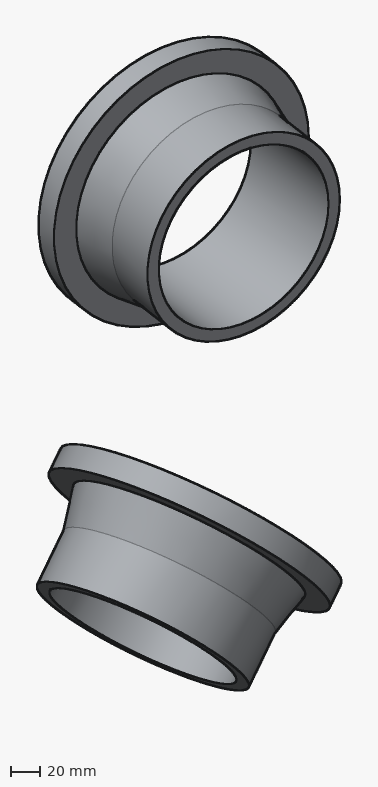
import cadquery as cq

total_length = 92.0
collar_thickness = 18.5
taper_length = 31.8
collar_radius = 212.0 / 2
taper_base_radius = 175.0 / 2
pipe_radius = 160.0 / 2
bore_radius = 141.0 / 2

taper_end = collar_thickness + taper_length

half_section = (
    cq.Workplane("XY")
    .moveTo(0, bore_radius)
    .lineTo(0, collar_radius)
    .lineTo(collar_thickness, collar_radius)
    .lineTo(collar_thickness, taper_base_radius)
    .lineTo(taper_end, pipe_radius)
    .lineTo(total_length, pipe_radius)
    .lineTo(total_length, bore_radius)
    .close()
)

result = half_section.revolve(360, (0, 0, 0), (1, 0, 0))